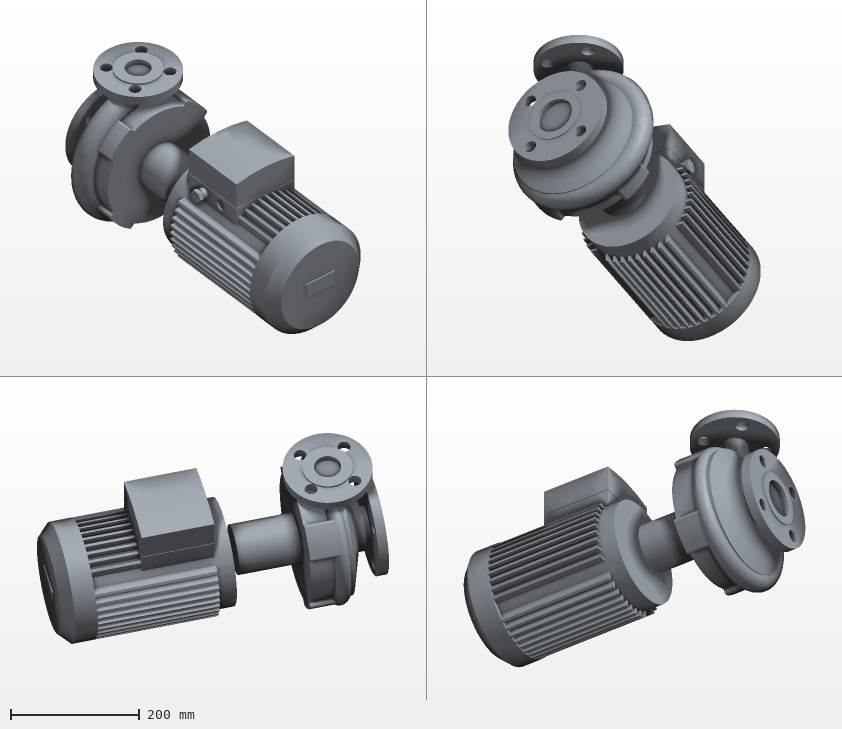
import cadquery as cq
import math


INLET_FACE_D = 86.5
INLET_FACE_H = 2.0
INLET_FLANGE_D = 165.0
INLET_FLANGE_T = 16.0
INLET_BORE_D = 60.0
INLET_BOLT_CIRCLE = 124.5
NECK_D = INLET_BORE_D
COLLAR_D = 80.0
COLLAR_X = 27.5
CONE_X = 39.5
CASING_FRONT_X = 61.0
CASING_D = 209.0

OUTLET_X = 80.0
OUTLET_TOP_Z = 160.0
OUTLET_FACE_D = 79.0
OUTLET_FACE_H = 3.0
OUTLET_FLANGE_D = 140.0
OUTLET_FLANGE_T = 15.5
OUTLET_BORE_D = 42.0
OUTLET_BOLT_CIRCLE = 99.0

BORE_DEPTH = 10.5
BOLT_HOLE_D = 20.0
BOLT_COUNT = 4

TUBE_OUTLET_R = 21.0
TUBE_SIDE_R = 19.5
TUBE_BOTTOM_R = 17.5
TUBE_TAIL_R = 13.0
VOLUTE_SIDE_REACH = 129.0
VOLUTE_TAIL_REACH = 113.0
OUTLET_BEND_R = 45.0
TAIL_ANGLE = 105

COVER_FRONT_X = OUTLET_X
COVER_BACK_X = 131.5
COVER_D = 206.0
PAD_D = 226.0
PAD_ANGLE = 31
PAD_FILLET = 4.0
PAD_COUNT = 4
SLEEVE_D = 80.0
SLEEVE_END_X = 231.0

MOTOR_FRONT_X = 246.5
FIN_FRONT_X = 275.5
FIN_BACK_X = 471.5
MOTOR_BODY_D = 173.0
MOTOR_OUTER_D = 193.0
FIN_T = 4.0
FIN_PITCH = 13.0
FINS_PER_SIDE = 9
FAN_COVER_END_X = 526.0
FAN_COVER_CHAMFER = 18.5
BADGE_END_X = 528.0
BADGE_WIDTH = 57.0
BADGE_HEIGHT = 25.5
BADGE_Z = 2.5

BOX_SIZE = 116.0
BOX_BASE_TOP_Z = 99.0
BOX_GROOVE = 1.0
LID_EDGE_Z = 145.0
LID_CROWN_Z = 152.0
ENTRY_Z = 82.5
GLAND_X = 313.0
BLANK_ENTRY_X = 353.0
ENTRY_D = 19.0
BLANK_ENTRY_DEPTH = 3.0
GLAND_STEM_L = 8.0
GLAND_NECK_D = 16.0
GLAND_NECK_L = 3.0
GLAND_HEX_FLATS = 20.0
GLAND_HEX_L = 6.5


def disc(diameter, x_start, x_end):
    """Cylinder on the shaft axis."""
    return cq.Workplane("YZ", origin=(x_start, 0, 0)).circle(diameter / 2).extrude(x_end - x_start)


def bolt_holes(plane, circle_diameter, depth):
    """Four hole cutters at 45 degrees to the axes."""
    spots = cq.Workplane(plane).polarArray(circle_diameter / 2, 45, 360, BOLT_COUNT)
    return spots.circle(BOLT_HOLE_D / 2).extrude(depth)


def make_inlet():
    """Inlet flange, neck, collar, cone and casing disc, turned about the shaft axis."""
    flange_back = INLET_FACE_H + INLET_FLANGE_T
    profile = [
        (0, 0),
        (0, INLET_FACE_D / 2),
        (INLET_FACE_H, INLET_FACE_D / 2),
        (INLET_FACE_H, INLET_FLANGE_D / 2),
        (flange_back, INLET_FLANGE_D / 2),
        (flange_back, NECK_D / 2),
        (COLLAR_X, NECK_D / 2),
        (COLLAR_X, COLLAR_D / 2),
        (CONE_X, COLLAR_D / 2),
        (CASING_FRONT_X, CASING_D / 2),
        (COVER_FRONT_X, CASING_D / 2),
        (COVER_FRONT_X, 0),
    ]
    body = cq.Workplane("XY").polyline(profile).close().revolve(360, (0, 0, 0), (1, 0, 0))
    body = body.cut(disc(INLET_BORE_D, 0, BORE_DEPTH))
    return body.cut(bolt_holes("YZ", INLET_BOLT_CIRCLE, flange_back))


def make_outlet_flange():
    """Discharge flange with its raised face."""
    total = OUTLET_FACE_H + OUTLET_FLANGE_T
    top = cq.Workplane("XY", origin=(OUTLET_X, 0, OUTLET_TOP_Z))
    flange_top = top.workplane(offset=-OUTLET_FACE_H)
    flange = flange_top.circle(OUTLET_FLANGE_D / 2).extrude(-OUTLET_FLANGE_T)
    flange = flange.union(top.circle(OUTLET_FACE_D / 2).extrude(-total))
    flange_plane = cq.Plane((OUTLET_X, 0, OUTLET_TOP_Z))
    return flange.cut(bolt_holes(flange_plane, OUTLET_BOLT_CIRCLE, -total))


def tube_section(y, z, radius):
    """Horizontal circle across the volute tube."""
    return cq.Wire.makeCircle(radius, cq.Vector(OUTLET_X, y, z), cq.Vector(0, 0, 1))


def make_volute():
    """Tube that leaves the discharge, bends onto a ring and tapers round it to the tail."""
    ring_r = VOLUTE_SIDE_REACH - TUBE_SIDE_R
    tail_r = VOLUTE_TAIL_REACH - TUBE_TAIL_R
    path_plane = cq.Workplane("YZ", origin=(OUTLET_X, 0, 0))

    bend_z = math.sqrt(ring_r**2 + 2 * ring_r * OUTLET_BEND_R)
    join_angle = math.atan2(bend_z, OUTLET_BEND_R)
    join = (-ring_r * math.cos(join_angle), ring_r * math.sin(join_angle))
    ring_mid = (-ring_r * math.cos(join_angle / 2), ring_r * math.sin(join_angle / 2))
    bend_mid = (
        OUTLET_BEND_R * (math.cos(join_angle / 2) - 1),
        bend_z - OUTLET_BEND_R * math.sin(join_angle / 2),
    )
    outlet_path = (
        path_plane.moveTo(0, bend_z)
        .threePointArc(bend_mid, join)
        .threePointArc(ring_mid, (-ring_r, 0))
        .wire()
        .val()
    )
    outlet_sections = [
        tube_section(0, bend_z, TUBE_OUTLET_R),
        tube_section(-ring_r, 0, TUBE_SIDE_R),
    ]
    outlet_tube = cq.Solid.sweep_multi(outlet_sections, outlet_path)
    riser_height = OUTLET_TOP_Z - OUTLET_FACE_H - bend_z
    riser = cq.Workplane("XY", origin=(OUTLET_X, 0, bend_z)).circle(TUBE_OUTLET_R).extrude(riser_height)

    scroll_y = (tail_r - ring_r) / 2
    scroll_r = (tail_r + ring_r) / 2
    scroll_path = path_plane.moveTo(-ring_r, 0).threePointArc((scroll_y, -scroll_r), (tail_r, 0)).wire().val()
    bottom_section = cq.Wire.makeCircle(
        TUBE_BOTTOM_R, cq.Vector(OUTLET_X, scroll_y, -scroll_r), cq.Vector(0, 1, 0)
    )
    scroll_sections = [
        tube_section(-ring_r, 0, TUBE_SIDE_R),
        bottom_section,
        tube_section(tail_r, 0, TUBE_TAIL_R),
    ]
    scroll = cq.Solid.sweep_multi(scroll_sections, scroll_path)

    tail = (
        cq.Workplane("XY")
        .center(OUTLET_X, tail_r)
        .circle(TUBE_TAIL_R)
        .revolve(TAIL_ANGLE, (0, -tail_r, 0), (1, -tail_r, 0))
    )
    return riser.union(cq.Workplane(outlet_tube)).union(cq.Workplane(scroll)).union(tail)


def make_casing(cover):
    """Pump casing, recessed for the back cover."""
    outlet_bore = (
        cq.Workplane("XY", origin=(OUTLET_X, 0, OUTLET_TOP_Z)).circle(OUTLET_BORE_D / 2).extrude(-BORE_DEPTH)
    )
    body = make_inlet().union(make_volute()).union(make_outlet_flange())
    return body.cut(outlet_bore).cut(cover)


def make_cover():
    """Round cover with four raised pads on the diagonals, blended into its rim."""
    length = COVER_BACK_X - COVER_FRONT_X
    cover = disc(COVER_D, COVER_FRONT_X, COVER_BACK_X)
    half = math.radians(PAD_ANGLE / 2)
    tip = (PAD_D * math.cos(half), PAD_D * math.sin(half))
    wedge = (
        cq.Workplane("YZ", origin=(COVER_FRONT_X, 0, 0))
        .polyline([(0, 0), tip, (tip[0], -tip[1])])
        .close()
        .extrude(length)
    )
    pad = disc(PAD_D, COVER_FRONT_X, COVER_BACK_X).intersect(wedge)
    for index in range(PAD_COUNT):
        cover = cover.union(pad.rotate((0, 0, 0), (1, 0, 0), 45 + index * 360 / PAD_COUNT))
    return cover.edges("|X").fillet(PAD_FILLET)


def make_motor():
    """Round body with horizontal fins on its sides and upright fins above and below, cleared for the box."""
    body = disc(MOTOR_BODY_D, MOTOR_FRONT_X, FIN_BACK_X)
    upright_fins = (
        cq.Workplane("YZ", origin=(FIN_FRONT_X, 0, 0))
        .rarray(FIN_PITCH, 5.5, FINS_PER_SIDE, 1)
        .rect(FIN_T, MOTOR_OUTER_D)
        .extrude(FIN_BACK_X - FIN_FRONT_X)
    )
    side_fins = upright_fins.rotate((0, 0, 0), (1, 0, 0), 90)
    fins = upright_fins.union(side_fins).intersect(disc(MOTOR_OUTER_D, FIN_FRONT_X, FIN_BACK_X))
    return fins.cut(box_block(BOX_SIZE, 0, BOX_BASE_TOP_Z)).union(body)


def make_fan_cover():
    """Plain round cover with a chamfered rear edge."""
    return disc(MOTOR_OUTER_D, FIN_BACK_X, FAN_COVER_END_X).faces(">X").chamfer(FAN_COVER_CHAMFER)


def make_badge():
    """Thin plate on the rear face of the fan cover."""
    plane = cq.Workplane("YZ", origin=(FAN_COVER_END_X, 0, BADGE_Z))
    return plane.rect(BADGE_WIDTH, BADGE_HEIGHT).extrude(BADGE_END_X - FAN_COVER_END_X)


def box_block(size, z_start, z_end):
    """Square block over the front end of the fins."""
    center_x = FIN_FRONT_X + BOX_SIZE / 2
    return cq.Workplane("XY", origin=(center_x, 0, z_start)).rect(size, size).extrude(z_end - z_start)


def entry_plane(x):
    """Work plane on the -Y wall of the box at a cable entry, facing out of the wall."""
    return cq.Workplane("XZ", origin=(x, -BOX_SIZE / 2, ENTRY_Z))


def make_box_base():
    """Lower box, seated on the round motor body, with a shadow groove and a blank cable entry."""
    groove_z = BOX_BASE_TOP_Z - BOX_GROOVE
    base = box_block(BOX_SIZE, 0, groove_z)
    base = base.union(box_block(BOX_SIZE - 2 * BOX_GROOVE, groove_z, BOX_BASE_TOP_Z))
    base = base.cut(disc(MOTOR_BODY_D, MOTOR_FRONT_X, FIN_BACK_X))
    return base.cut(entry_plane(BLANK_ENTRY_X).circle(ENTRY_D / 2).extrude(-BLANK_ENTRY_DEPTH))


def make_box_lid():
    """Lid with a crowned top."""
    half = BOX_SIZE / 2
    return (
        cq.Workplane("YZ", origin=(FIN_FRONT_X, 0, 0))
        .moveTo(-half, BOX_BASE_TOP_Z)
        .lineTo(half, BOX_BASE_TOP_Z)
        .lineTo(half, LID_EDGE_Z)
        .threePointArc((0, LID_CROWN_Z), (-half, LID_EDGE_Z))
        .close()
        .extrude(BOX_SIZE)
    )


def make_gland():
    """Cable gland: round stem, narrower neck and hexagonal head."""
    plane = entry_plane(GLAND_X)
    neck_end = GLAND_STEM_L + GLAND_NECK_L
    stem = plane.circle(ENTRY_D / 2).extrude(GLAND_STEM_L)
    neck = plane.circle(GLAND_NECK_D / 2).extrude(neck_end)
    head = (
        plane.workplane(offset=neck_end)
        .transformed(rotate=(0, 0, 30))
        .polygon(6, GLAND_HEX_FLATS, circumscribed=True)
        .extrude(GLAND_HEX_L)
    )
    return stem.union(neck).union(head)


cover = make_cover()
casing = make_casing(cover)
sleeve = disc(SLEEVE_D, COVER_BACK_X, SLEEVE_END_X)
box_base = make_box_base()
box_lid = make_box_lid()
gland = make_gland()
motor = make_motor()
fan_cover = make_fan_cover()
badge = make_badge()

result = cq.Compound.makeCompound(
    [
        casing.val(),
        cover.val(),
        sleeve.val(),
        motor.val(),
        fan_cover.val(),
        badge.val(),
        box_base.val(),
        box_lid.val(),
        gland.val(),
    ]
)